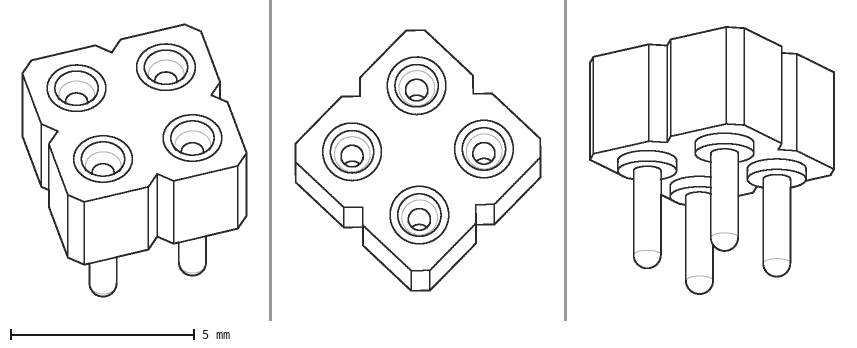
import cadquery as cq
import math

cells_per_side = 2
housing_width = 5.08
housing_height = 2.8
corner_chamfer = 0.36
pitch = housing_width / cells_per_side

barrel_diameter = 1.6
barrel_projection = 0.3
tail_diameter = 0.75
overall_height = 5.9

mouth_diameter = 1.18
throat_diameter = 0.975
bore_diameter = 0.6
throat_depth = 0.3
bore_start_depth = 0.6
bore_end_depth = housing_height

housing_top = housing_height
barrel_bottom = -barrel_projection
tail_tip = housing_top - overall_height

contact_positions = [
    ((column - (cells_per_side - 1) / 2) * pitch, (row - (cells_per_side - 1) / 2) * pitch)
    for column in range(cells_per_side)
    for row in range(cells_per_side)
]


def make_housing():
    """Block of chamfered cells, which leaves V notches between them, with a through hole per contact."""
    block = cq.Workplane("XY").rect(housing_width, housing_width).extrude(housing_height)
    block = block.edges("|Z").chamfer(corner_chamfer)

    half_width = housing_width / 2
    notch_side = corner_chamfer * math.sqrt(2)
    for x, y in [(half_width, 0), (-half_width, 0), (0, half_width), (0, -half_width)]:
        notch = (
            cq.Workplane("XY")
            .rect(notch_side, notch_side)
            .extrude(housing_height)
            .rotate((0, 0, 0), (0, 0, 1), 45)
            .translate((x, y, 0))
        )
        block = block.cut(notch)

    holes = (
        cq.Workplane("XY")
        .pushPoints(contact_positions)
        .circle(barrel_diameter / 2)
        .extrude(housing_height)
    )
    return block.cut(holes)


def make_contact(x, y):
    """Turned contact: half profile in radius and height, revolved about its own axis."""
    barrel_radius = barrel_diameter / 2
    tail_radius = tail_diameter / 2
    bore_radius = bore_diameter / 2
    tip_center = tail_tip + tail_radius
    tip_arc_offset = tail_radius * math.sqrt(0.5)

    profile = (
        cq.Workplane("XZ")
        .moveTo(0, tail_tip)
        .threePointArc((tip_arc_offset, tip_center - tip_arc_offset), (tail_radius, tip_center))
        .lineTo(tail_radius, barrel_bottom)
        .lineTo(barrel_radius, barrel_bottom)
        .lineTo(barrel_radius, housing_top)
        .lineTo(mouth_diameter / 2, housing_top)
        .lineTo(throat_diameter / 2, housing_top - throat_depth)
        .lineTo(bore_radius, housing_top - bore_start_depth)
        .lineTo(bore_radius, housing_top - bore_end_depth)
        .lineTo(0, housing_top - bore_end_depth)
        .close()
    )
    contact = profile.revolve(360, (0, 0, 0), (0, 1, 0))
    return contact.translate((x, y, 0))


housing = make_housing()
contacts = [make_contact(x, y) for x, y in contact_positions]

result = cq.Compound.makeCompound([housing.val(), *[contact.val() for contact in contacts]])